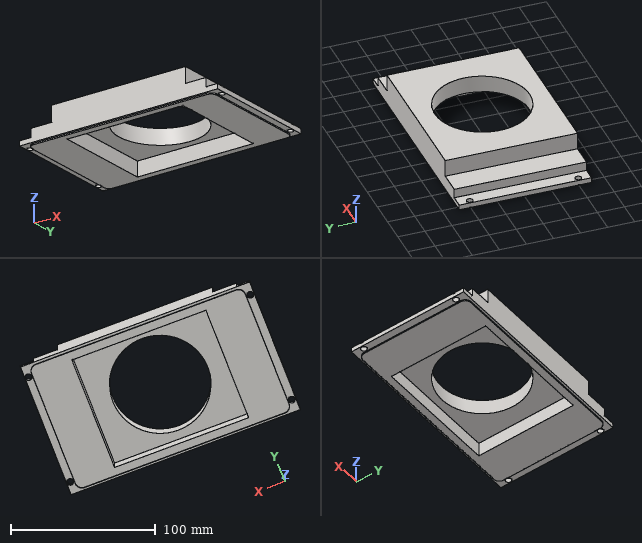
import cadquery as cq

length = 170.0
width = 98.0
height = 25.0

lip_height = 1.0
flange_top = 5.1
shoulder_top = 12.0
shoulder_length = 150.3
block_length = 115.0

lip_length = 158.5
lip_width = 94.2
lip_corner_radius = 5.1

opening_diameter = 70.0
wall_thickness = 7.8
pocket_length = block_length - 2 * wall_thickness
pocket_width = width - 2 * wall_thickness
pocket_depth = shoulder_top

mount_hole_diameter = 4.6
mount_spacing_x = 164.2
mount_spacing_y = 80.2


def slab(slab_length, slab_width, bottom, top):
    """Rectangular slab centred on the Z axis between two heights."""
    return (
        cq.Workplane("XY")
        .workplane(offset=bottom)
        .rect(slab_length, slab_width)
        .extrude(top - bottom)
    )


body = slab(length, width, lip_height, flange_top)
body = body.union(slab(shoulder_length, width, lip_height, shoulder_top))
body = body.union(slab(block_length, width, lip_height, height))

lip = slab(lip_length, lip_width, 0, lip_height).edges("|Z").fillet(lip_corner_radius)
body = body.union(lip)

pocket = slab(pocket_length, pocket_width, 0, pocket_depth)
opening = cq.Workplane("XY").circle(opening_diameter / 2).extrude(height)

mount_holes = (
    cq.Workplane("XY")
    .rect(mount_spacing_x, mount_spacing_y, forConstruction=True)
    .vertices()
    .circle(mount_hole_diameter / 2)
    .extrude(flange_top)
)

result = body.cut(pocket).cut(opening).cut(mount_holes)